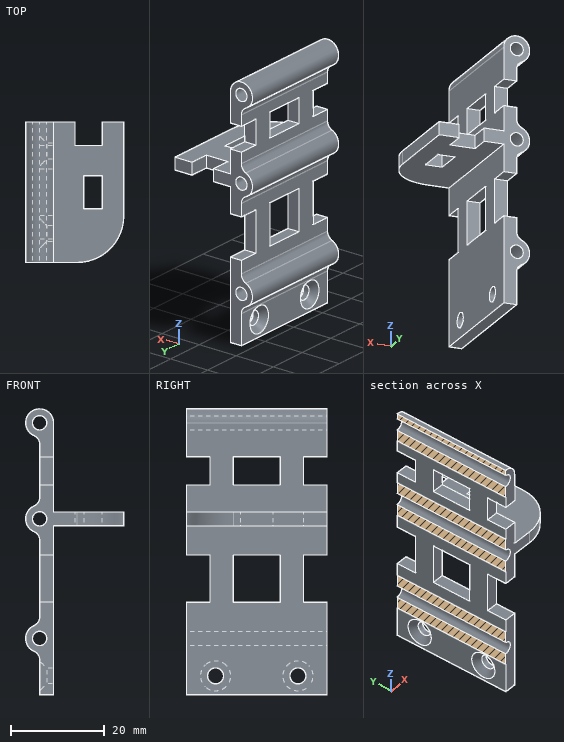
import cadquery as cq
import math

height = 61.0
width = 30.0
thickness = width / 10
barrel_radius = thickness
barrel_bore = barrel_radius
blend_radius = 2.0
back_face = 2 * barrel_radius
low_barrel_z = 12.0
mid_barrel_z = 37.5
top_barrel_z = height - barrel_radius

opening_depth = 5.0
upper_opening_height = 6.0
lower_opening_height = 10.0

screw_z = 4.0
screw_inset = 6.2
screw_diameter = 3.35
countersink_diameter = 6.4
countersink_angle = 90

tab_end = 21.0
tab_corner_radius = 10.0
slot_end = 16.35
tab_notch_length = 5.8
tab_notch_depth = 5.0
tab_window_length = 3.9
tab_window_start = 11.5
tab_window_width = 6.95


def box(x_start, x_end, y_start, y_end, z_start, z_end):
    """Block between two opposite corners."""
    size = (x_end - x_start, y_end - y_start, z_end - z_start)
    return cq.Workplane("XY").box(*size, centered=False).translate((x_start, y_start, z_start))


def along_width(sketch):
    """Extrude a closed XZ outline over the full width."""
    return sketch.extrude(-width)


def barrel(z):
    return along_width(cq.Workplane("XZ").center(barrel_radius, z).circle(barrel_radius))


def bore(z):
    return along_width(cq.Workplane("XZ").center(barrel_radius, z).circle(barrel_bore / 2))


def blend(z, side):
    """Concave fill between a barrel and the plate, above (side = 1) or below (side = -1)."""
    reach = math.sqrt((barrel_radius + blend_radius) ** 2 - blend_radius**2)
    center_x = barrel_radius - blend_radius
    center_z = z + side * reach
    share = barrel_radius / (barrel_radius + blend_radius)
    touch = (barrel_radius - share * blend_radius, z + side * share * reach)
    half_angle = math.atan2(reach, blend_radius) / 2
    middle = (
        center_x + blend_radius * math.cos(half_angle),
        center_z - side * blend_radius * math.sin(half_angle),
    )
    return along_width(
        cq.Workplane("XZ")
        .moveTo(barrel_radius, z)
        .lineTo(*touch)
        .threePointArc(middle, (barrel_radius, center_z))
        .close()
    )


def openings(z, opening_height):
    """Notch at each plate edge and a window between them, centred on z."""
    y_ranges = [
        (0, opening_depth),
        (2 * opening_depth, width - 2 * opening_depth),
        (width - opening_depth, width),
    ]
    z_start = z - opening_height / 2
    cut = cq.Workplane("XY")
    for y_start, y_end in y_ranges:
        cut = cut.add(box(0, back_face, y_start, y_end, z_start, z_start + opening_height))
    return cut.combine()


def tab():
    z_start = mid_barrel_z - thickness / 2
    z_end = z_start + thickness
    body = box(barrel_radius, tab_end, 0, width, z_start, z_end)
    body = body.edges("|Z and >X and <Y").fillet(tab_corner_radius)
    notch = box(slot_end - tab_notch_length, slot_end, width - tab_notch_depth, width, z_start, z_end)
    window_end = tab_window_start + tab_window_width
    window = box(slot_end - tab_window_length, slot_end, tab_window_start, window_end, z_start, z_end)
    return body.cut(notch).cut(window)


plate = box(barrel_radius, back_face, 0, width, 0, top_barrel_z)
plate = plate.cut(openings((top_barrel_z + mid_barrel_z) / 2, upper_opening_height))
plate = plate.cut(openings((mid_barrel_z + low_barrel_z) / 2, lower_opening_height))

plate = (
    plate.faces("<X")
    .workplane(origin=(barrel_radius, width / 2, screw_z))
    .pushPoints([(screw_inset - width / 2, 0), (width / 2 - screw_inset, 0)])
    .cskHole(screw_diameter, countersink_diameter, countersink_angle)
)

result = plate.union(tab())
for barrel_z in (low_barrel_z, mid_barrel_z, top_barrel_z):
    result = result.union(barrel(barrel_z)).union(blend(barrel_z, -1))
    if barrel_z != top_barrel_z:
        result = result.union(blend(barrel_z, 1))
for barrel_z in (low_barrel_z, mid_barrel_z, top_barrel_z):
    result = result.cut(bore(barrel_z))